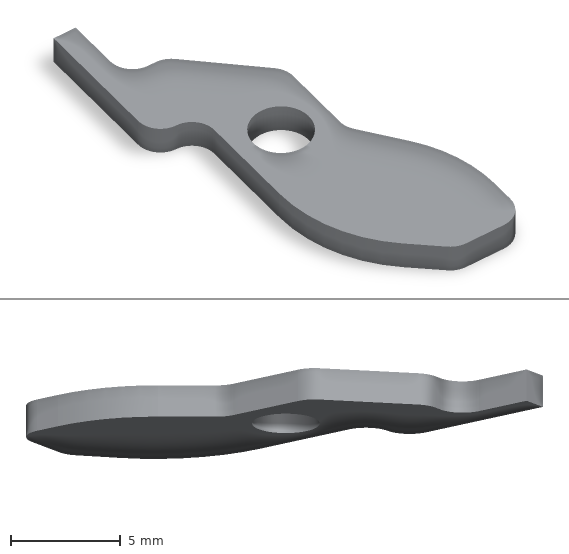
import cadquery as cq
import math

length = 21.93
height = 10.92
thickness = 1.5

tail_width = 1.23
arm_left = 3.97
arm_right = 7.94
arm_bottom = 2.5
arm_top = 7.5
shoulder_start = 3.38
shoulder_end = 7.79

neck_x = 12.45
crown_x = 16.93
belly_x = 17.92
tip_low = 7.1

small_radius = arm_bottom / 2
crown_radius = 7.5
belly_radius = 7.9

hole_diameter = 3.1
hole_x = 10.92
hole_y = 5.0

corners = [
    (0, 0, 0),
    (0, tail_width, 0),
    (arm_left, tail_width, small_radius),
    (arm_left, shoulder_start, small_radius),
    (shoulder_end, arm_top, small_radius),
    (neck_x, arm_top, small_radius),
    (crown_x, height, crown_radius),
    (length, height, small_radius),
    (length, tip_low, small_radius),
    (belly_x, arm_bottom, belly_radius),
    (arm_right, arm_bottom, small_radius),
    (arm_right, 0, small_radius),
]


def rounded_corner(before, corner, after, radius):
    """Start, middle and end of the arc that is tangent to both sides of a corner."""
    corner = cq.Vector(*corner)
    to_before = (cq.Vector(*before) - corner).normalized()
    to_after = (cq.Vector(*after) - corner).normalized()
    half_angle = to_before.getAngle(to_after) / 2
    tangent_length = radius / math.tan(half_angle)
    middle_distance = radius / math.sin(half_angle) - radius
    start = corner + to_before * tangent_length
    middle = corner + (to_before + to_after).normalized() * middle_distance
    end = corner + to_after * tangent_length
    return start, middle, end


def rounded_outline(points):
    """Closed outline through the corners; the first corner must be sharp."""
    coincident = 2.19e-07
    outline = cq.Workplane("XY").moveTo(*points[0][:2])
    position = cq.Vector(*points[0][:2])
    for index in range(1, len(points)):
        x, y, radius = points[index]
        if radius == 0:
            outline = outline.lineTo(x, y)
            position = cq.Vector(x, y)
            continue
        before = points[index - 1][:2]
        after = points[(index + 1) % len(points)][:2]
        start, middle, end = rounded_corner(before, (x, y), after, radius)
        if (start - position).Length > coincident:
            outline = outline.lineTo(start.x, start.y)
        outline = outline.threePointArc((middle.x, middle.y), (end.x, end.y))
        position = end
    return outline.close()


plate = rounded_outline(corners).extrude(thickness)
pivot_hole = cq.Workplane("XY").center(hole_x, hole_y).circle(hole_diameter / 2).extrude(thickness)

result = plate.cut(pivot_hole)